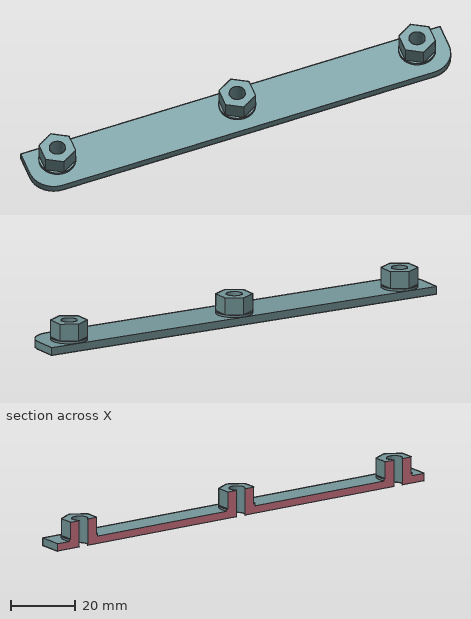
import cadquery as cq

length = 140.0
width = 16.0
plate_thickness = 2.5
corner_radius = width / 2

total_height = 8.7
standoff_x = 6.0
standoff_pitch = 60.0
hex_corner_diameter = 11.6
collar_diameter = 11.6
collar_height = 0.7
bore_diameter = 5.0


def make_plate():
    """Flat strip with both corners on the +X side rounded."""
    blank = cq.Workplane("XY").box(width, length, plate_thickness, centered=(False, True, False))
    return blank.edges("|Z and >X").fillet(corner_radius)


def make_standoff(y):
    """Hexagonal prism with corners on the X axis, on a round collar."""
    base = cq.Workplane("XY", origin=(standoff_x, y, plate_thickness))
    prism = base.polygon(6, hex_corner_diameter).extrude(total_height - plate_thickness)
    collar = base.circle(collar_diameter / 2).extrude(collar_height)
    return prism.union(collar)


standoff_positions = [-standoff_pitch, 0, standoff_pitch]

result = make_plate()
for y in standoff_positions:
    result = result.union(make_standoff(y))

bores = (
    cq.Workplane("XY")
    .pushPoints([(standoff_x, y) for y in standoff_positions])
    .circle(bore_diameter / 2)
    .extrude(total_height)
)
result = result.cut(bores)